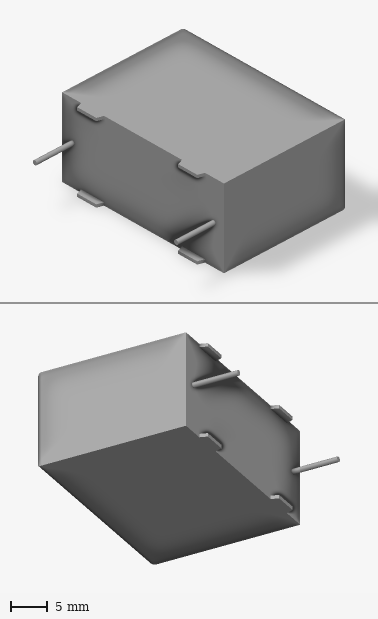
import cadquery as cq

width = 31.5
height = 14.52
overall_depth = 30.5
pin_length = 7.1
depth = overall_depth - pin_length
back_fillet = 0.9

tab_spacing = 19.65
tab_base_width = 4.47
tab_tip_width = 3.72
tab_length = 1.1
tab_thickness = 0.55

pin_diameter = 0.8
pin_spacing = 27.5


def make_tab(center_x, bottom_z):
    """Trapezoid plate whose wide end sits on the front face."""
    return (
        cq.Workplane("XY", origin=(center_x, 0, bottom_z))
        .moveTo(-tab_base_width / 2, 0)
        .lineTo(-tab_tip_width / 2, -tab_length)
        .lineTo(tab_tip_width / 2, -tab_length)
        .lineTo(tab_base_width / 2, 0)
        .close()
        .extrude(tab_thickness)
    )


def make_housing():
    """Block with rounded edges around its back face and four tabs on its front face."""
    housing = cq.Workplane("XY").box(width, depth, height, centered=(True, False, True))
    housing = housing.faces(">Y").edges().fillet(back_fillet)
    for center_x in (-tab_spacing / 2, tab_spacing / 2):
        for bottom_z in (-height / 2, height / 2 - tab_thickness):
            housing = housing.union(make_tab(center_x, bottom_z))
    return housing.solids()


def make_pin(center_x):
    """Round pin along -Y, standing on the front face at mid height."""
    return cq.Workplane("XZ", origin=(center_x, 0, 0)).circle(pin_diameter / 2).extrude(pin_length)


housing = make_housing()
pins = [make_pin(center_x) for center_x in (-pin_spacing / 2, pin_spacing / 2)]

result = cq.Compound.makeCompound([housing.val(), *[pin.val() for pin in pins]])